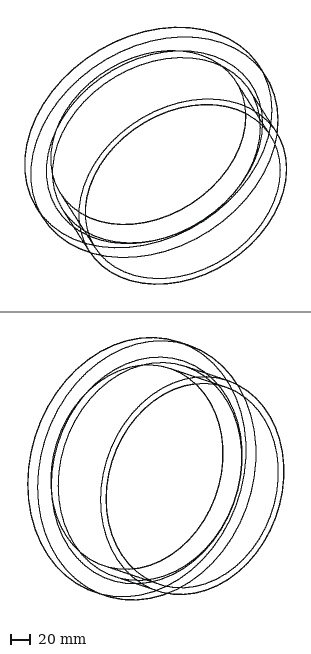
import cadquery as cq

length = 100.0
flange_diameter = 268.0
flange_thickness = 18.0
tube_diameter = 225.0
bore_diameter = 211.2
cone_length = 5.5
cone_height = 4.5

flange_radius = flange_diameter / 2
tube_radius = tube_diameter / 2
bore_radius = bore_diameter / 2

half_section = (
    cq.Workplane("XY")
    .moveTo(0, bore_radius)
    .lineTo(0, flange_radius)
    .lineTo(flange_thickness, flange_radius)
    .lineTo(flange_thickness, tube_radius + cone_height)
    .lineTo(flange_thickness + cone_length, tube_radius)
    .lineTo(length, tube_radius)
    .lineTo(length, bore_radius)
    .close()
)

result = half_section.revolve(360, (0, 0, 0), (1, 0, 0))